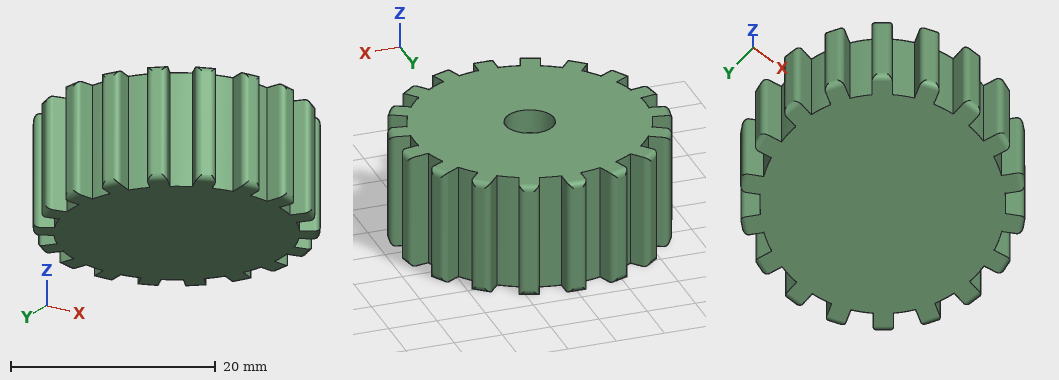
import cadquery as cq

tooth_count = 18
tip_radius = 14.0
root_radius = 12.0
wheel_width = 12.0
tooth_width = 2.0
tip_fillet = 0.6

bore_diameter = 5.0
round_depth = 2.5
flats_spacing = 3.0
flats_length = 6.0


def make_tooth(angle):
    """Straight tooth reaching from the axis to the tip, turned about Z to the given angle."""
    tooth = (
        cq.Workplane("XY")
        .box(tooth_width, tip_radius, wheel_width, centered=(True, False, False))
        .faces(">Y")
        .edges()
        .fillet(tip_fillet)
    )
    return tooth.rotate((0, 0, 0), (0, 0, 1), angle)


def make_wheel():
    """Round core carrying evenly spaced teeth, the first one pointing along +Y."""
    wheel = cq.Workplane("XY").circle(root_radius).extrude(wheel_width)
    for index in range(tooth_count):
        wheel = wheel.union(make_tooth(index * 360 / tooth_count))
    return wheel


def make_bore():
    """Round entry from the top face, continuing as a double-D with flats parallel to X."""
    bore_radius = bore_diameter / 2
    entry_floor = wheel_width - round_depth
    entry = cq.Workplane("XY").workplane(offset=entry_floor).circle(bore_radius).extrude(round_depth)
    flats_slab = (
        cq.Workplane("XY")
        .workplane(offset=entry_floor)
        .rect(bore_diameter, flats_spacing)
        .extrude(-flats_length)
    )
    double_d = (
        cq.Workplane("XY")
        .workplane(offset=entry_floor)
        .circle(bore_radius)
        .extrude(-flats_length)
        .intersect(flats_slab)
    )
    return entry.union(double_d)


result = make_wheel().cut(make_bore())